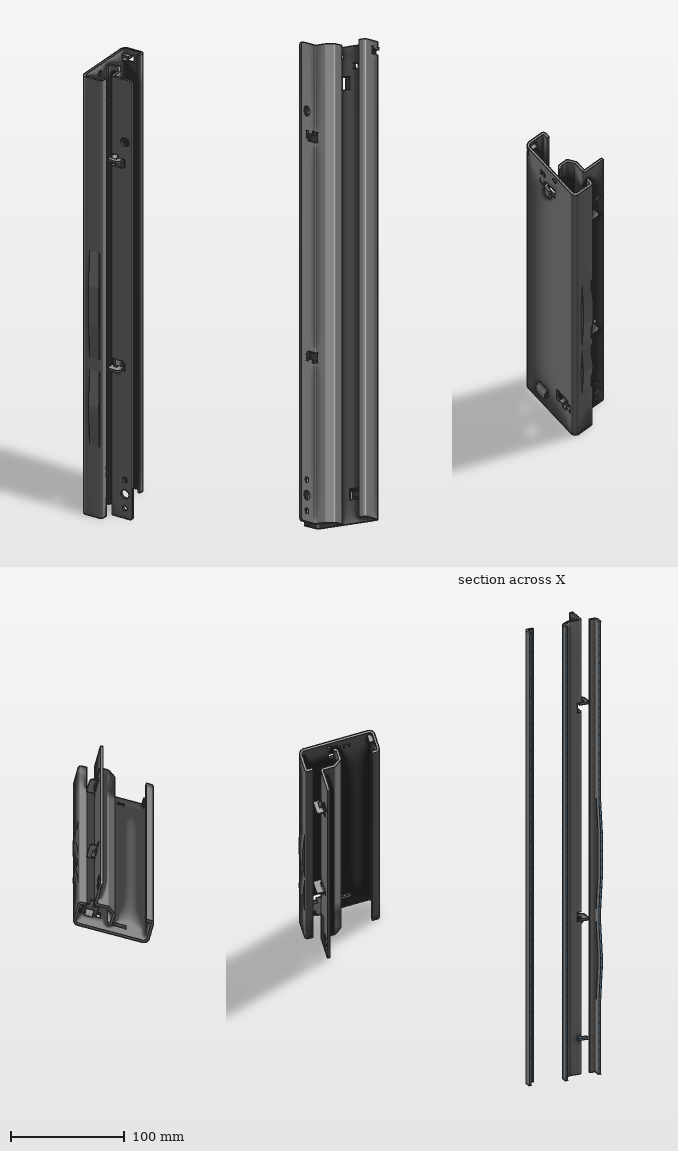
import cadquery as cq
import math


sheet = 2.2
total_height = 430.0
channel_start = 1.0
channel_width = 21.6
channel_depth = 69.0
lip_length = 7.3
web_bend = 2.8
lip_bend = 0.8
bracket_bend = 0.5


def sheet_strip(path, bend_radii, start, end):
    """Bent sheet extruded along Z; the path runs along its left side, radii are inside radii."""
    headings = [math.atan2(q[1] - p[1], q[0] - p[0]) for p, q in zip(path, path[1:])]
    before = headings[:1] + headings
    after = headings + headings[-1:]
    far_side = []
    for (x, y), first, second in zip(path, before, after):
        middle = (first + second) / 2
        if abs(second - first) > math.pi:
            middle += math.pi
        reach = sheet / math.cos(middle - first)
        far_side.append((x + reach * math.sin(middle), y - reach * math.cos(middle)))
    strip = (
        cq.Workplane("XY").workplane(offset=start).polyline(path + far_side[::-1]).close()
        .extrude(end - start)
    )
    middle_z = (start + end) / 2
    for i, radius in enumerate(bend_radii, start=1):
        turn = math.sin(after[i] - before[i])
        inside, outside = (path[i], far_side[i]) if turn > 0 else (far_side[i], path[i])
        for (x, y), r in ((inside, radius), (outside, radius + sheet)):
            strip = round_edge(strip, (x, y, middle_z), r)
    return strip


def block(x_range, y_range, z_range):
    """Rectangular block between the given limits."""
    spans = [high - low for low, high in (x_range, y_range, z_range)]
    corner = (x_range[0], y_range[0], z_range[0])
    return cq.Workplane("XY").box(*spans, centered=False).translate(corner)


def round_edge(body, point, radius):
    """Round the edge whose middle is nearest to the point."""
    return body.edges(cq.NearestToPointSelector(point)).fillet(radius)


def bevel_edge(body, point, size):
    """Chamfer the edge whose middle is nearest to the point."""
    return body.edges(cq.NearestToPointSelector(point)).chamfer(size)


def gusset(plane, offset, inner_corner, outer_corner, direction, leg, width):
    """Pressed gusset across a fold: the rib in the inner corner and the narrower dent behind it."""
    u, v = direction
    prisms = []
    for (x, y), across in ((inner_corner, width), (outer_corner, width - sheet)):
        triangle = [(x, y), (x + u * leg, y), (x, y + v * leg)]
        prisms.append(
            cq.Workplane(plane).workplane(offset=offset).polyline(triangle).close()
            .extrude(across / 2, both=True)
        )
    return prisms


bulge_height = 1.8
bulge_x = (8.6, 19.4)
bulge_ramp = 34.0
bulges = [(208.8, 36.2), (107.6, 5.4)]

hook_width = 12.0
hook_length = 11.2
hook_window_length = 12.0
hook_projection = 5.0
hook_gap = 2.0
hook_slope = 2.8
hook_flare_angle = math.radians(25)
hook_bend = 3.0
hook_tip_chamfer = 1.5
upper_hook_root = (39.4, 397.4)
lower_hook_root = (42.6, 34.6)

catch_size = 5.2
catch_height = 1.0
catch_centre = (44.6, 398.0)

round_hole = (27.8, 421.2)
round_hole_diameter = 5.0
square_hole = (44.0, 411.9)
square_hole_side = 4.4
corner_relief_radius = 1.0

stop_y = (7.1, 21.3)
stop_step_y = 12.5
stop_length = 15.4
stop_short_length = 11.3
stop_corner = 2.0
stop_gusset_leg = 5.0
stop_gusset_width = 7.0
stop_z = 36.0
window_top = 53.0
window_step_z = 48.0
window_y = (6.2, 25.2)
window_step_y = 9.8
window_corner = 2.0

tongue_top = 425.0
tongue_end_x = 9.3
tongue_drop = 6.4
tongue_window_bottom = 418.0
tongue_window_x = 12.0


def bulge(centre, crest, depth_from, x_range):
    """Flat-topped rise along Z, standing out toward -Y from the given level."""
    half_crest = crest / 2
    half_foot = half_crest + bulge_ramp
    outline = [
        (depth_from, centre - half_foot),
        (depth_from - bulge_height, centre - half_crest),
        (depth_from - bulge_height, centre + half_crest),
        (depth_from, centre + half_foot),
    ]
    start, end = x_range
    return cq.Workplane("YZ").workplane(offset=start).polyline(outline).close().extrude(end - start)


def hook_and_window(root, run, across):
    """Lanced hook and the window behind it: it runs from the root along `run` and stands out along -X."""
    plane = cq.Plane(origin=(0, *root), xDir=run, normal=across)
    outer = hook_gap + sheet
    tip_inner_rise = hook_projection - sheet * math.cos(hook_flare_angle)
    tip_start = hook_length - sheet * math.sin(hook_flare_angle)
    outer_bend = tip_start - (hook_projection - outer) / math.tan(hook_flare_angle)
    inner_bend = hook_length - (tip_inner_rise - hook_gap) / math.tan(hook_flare_angle)
    outline = [
        (0, -sheet),
        (0, 0),
        (hook_slope, outer),
        (outer_bend, outer),
        (tip_start, hook_projection),
        (hook_length, tip_inner_rise),
        (inner_bend, hook_gap),
        (hook_slope + sheet / 2, hook_gap),
        (sheet, -sheet),
    ]
    hook = cq.Workplane(plane).polyline(outline).close().extrude(hook_width / 2, both=True)
    for point in ((hook_slope, outer), (outer_bend, outer)):
        hook = round_edge(hook, plane.toWorldCoords(point), hook_bend)
    tip_middle = ((tip_start + hook_length) / 2, (hook_projection + tip_inner_rise) / 2)
    for side in (1, -1):
        tip_corner = plane.toWorldCoords((*tip_middle, side * hook_width / 2))
        hook = bevel_edge(hook, tip_corner, hook_tip_chamfer)
    window = (
        cq.Workplane(plane).center(hook_window_length / 2, -sheet / 2).rect(hook_window_length, sheet)
        .extrude(hook_width / 2, both=True)
    )
    return hook, window


def add_bulges(body):
    """Bulges pressed outward in the -Y flange."""
    hollow_x = (bulge_x[0] + sheet, bulge_x[1] - sheet)
    for centre, crest in bulges:
        body = body.union(bulge(centre, crest, 0, bulge_x))
        body = body.cut(bulge(centre, crest, sheet, hollow_x))
    return body


def add_hooks(body):
    """Two hooks on the web: the upper one runs toward -Y and the lower one downward."""
    for root, run, across in (
        (upper_hook_root, (0, -1, 0), (0, 0, -1)),
        (lower_hook_root, (0, 0, -1), (0, 1, 0)),
    ):
        hook, window = hook_and_window(root, run, across)
        body = body.cut(window).union(hook)
    return body


def cut_web_holes(body):
    """Round hole, and square hole with relieved corners."""
    side = square_hole_side
    bore = cq.Workplane("YZ").center(*round_hole).circle(round_hole_diameter / 2).extrude(sheet)
    square = cq.Workplane("YZ").center(*square_hole).rect(side, side).extrude(sheet)
    reliefs = (
        cq.Workplane("YZ").center(*square_hole).rect(side, side, forConstruction=True).vertices()
        .circle(corner_relief_radius).extrude(sheet)
    )
    return body.cut(bore).cut(square).cut(reliefs)


def add_catch(body):
    """Wedge-shaped catch beside the upper hook, highest at its lower edge."""
    y, z = catch_centre
    half = catch_size / 2
    wedge = (
        cq.Workplane("XZ").workplane(offset=-(y + half))
        .polyline([(0, z - half), (-catch_height, z - half), (0, z + half)])
        .close().extrude(catch_size)
    )
    return body.union(wedge)


def cut_stop_window(body):
    """Stepped window in the web above the stop."""
    outline = [
        (window_y[0], stop_z),
        (window_y[1], stop_z),
        (window_y[1], window_top),
        (window_step_y, window_top),
        (window_step_y, window_step_z),
        (window_y[0], window_step_z),
    ]
    window = cq.Workplane("YZ").polyline(outline).close().extrude(sheet)
    for y in (window_y[1], window_step_y):
        window = bevel_edge(window, (sheet / 2, y, window_top), window_corner)
    return body.cut(window)


def add_stop(body):
    """Stepped stop folded inward from the lower edge of its window, stiffened by a gusset."""
    outline = [
        (0, stop_y[0]),
        (stop_short_length, stop_y[0]),
        (stop_short_length, stop_step_y),
        (stop_length, stop_step_y),
        (stop_length, stop_y[1]),
        (0, stop_y[1]),
    ]
    stop = cq.Workplane("XY").workplane(offset=stop_z).polyline(outline).close().extrude(sheet)
    stop = bevel_edge(stop, (stop_short_length, stop_y[0], stop_z + sheet / 2), stop_corner)
    gusset_place = ((sheet, stop_z), (0, stop_z + sheet), (1, -1))
    rib, dent = gusset("XZ", -sum(stop_y) / 2, *gusset_place, stop_gusset_leg, stop_gusset_width)
    return body.union(stop).union(rib).cut(dent)


def add_tongue(body):
    """Tongue folded inward from a window through the corner of the +Y flange."""
    window_start_y = channel_depth - sheet - web_bend
    window_z = (tongue_window_bottom, tongue_top)
    window = block((0, tongue_window_x), (window_start_y, channel_depth), window_z)
    tongue_y = (channel_depth - tongue_drop, channel_depth)
    tongue = block((sheet, tongue_end_x), tongue_y, (tongue_top - sheet, tongue_top))
    return body.cut(window).union(tongue)


def make_channel():
    path = [
        (channel_width, lip_length),
        (channel_width, 0),
        (0, 0),
        (0, channel_depth),
        (channel_width, channel_depth),
        (channel_width, channel_depth - lip_length),
    ]
    bends = [lip_bend, web_bend, web_bend, lip_bend]
    body = sheet_strip(path, bends, channel_start, total_height)
    body = add_bulges(body)
    body = add_hooks(body)
    body = cut_web_holes(body)
    body = add_catch(body)
    body = cut_stop_window(body)
    body = add_stop(body)
    return add_tongue(body)


lipped_flange_y = 34.0
lipped_flange_x = (8.7, 19.2)
bracket_lip_tip = (7.6, 30.0)
leg_x = 24.3
leg_top_y = 26.7
plate_y = 15.9
plate_end_x = 44.43
plate_corner = 2.5

hole_x = 36.8
large_hole_diameter = 8.6
small_hole_diameter = 5.0
large_hole_heights = (23.7, 368.9)
small_hole_pitch = 14.0

ear_mid_height = 248.0
ear_spread = 103.5
ear_x = (22.5, 34.6)
ear_window_height = 9.0
ear_window_end_x = 37.2
ear_corner = 2.6
ear_gusset_x = 27.0
ear_gusset_leg = 3.0
ear_gusset_width = 5.5


def cut_plate_holes(body):
    """Large hole near each end, with a small hole on both sides of the lower one."""
    low, high = large_hole_heights
    holes = [
        (low, large_hole_diameter),
        (high, large_hole_diameter),
        (low - small_hole_pitch, small_hole_diameter),
        (low + small_hole_pitch, small_hole_diameter),
    ]
    plate = cq.Workplane("XZ").workplane(offset=-plate_y)
    for z, diameter in holes:
        body = body.cut(plate.center(hole_x, z).circle(diameter / 2).extrude(sheet))
    return body


def add_ear(body, side):
    """Ear folded toward -Y out of a window in the plate; side +1 is the upper ear, -1 the lower."""
    plate_under = plate_y - sheet
    ear_bottom = plate_y - ear_window_height
    far_z = ear_mid_height + side * ear_spread
    near_z = far_z - side * sheet
    window_end = far_z - side * ear_window_height

    window_x = (leg_x - sheet, ear_window_end_x)
    window = block(window_x, (plate_under, plate_y + sheet), sorted((window_end, far_z)))
    window = bevel_edge(window, (ear_window_end_x, plate_y, window_end), ear_corner)

    ear = block(ear_x, (ear_bottom, plate_y), sorted((near_z, far_z)))
    ear = round_edge(ear, (ear_x[1], ear_bottom, (near_z + far_z) / 2), ear_corner)

    gusset_place = ((plate_under, far_z), (plate_y, near_z), (-1, side))
    rib, dent = gusset("YZ", ear_gusset_x, *gusset_place, ear_gusset_leg, ear_gusset_width)
    return body.cut(window).union(ear).union(rib).cut(dent)


def make_bracket():
    path = [
        bracket_lip_tip,
        (lipped_flange_x[0], lipped_flange_y),
        (lipped_flange_x[1], lipped_flange_y),
        (leg_x, leg_top_y),
        (leg_x, plate_y),
        (plate_end_x, plate_y),
    ]
    bends = [bracket_bend] * 4
    body = sheet_strip(path, bends, 0, total_height)
    body = body.edges("|Y and >X").fillet(plate_corner)
    body = cut_plate_holes(body)
    for side in (1, -1):
        body = add_ear(body, side)
    return body


channel = make_channel()
bracket = make_bracket()
result = cq.Compound.makeCompound([channel.val(), bracket.val()])